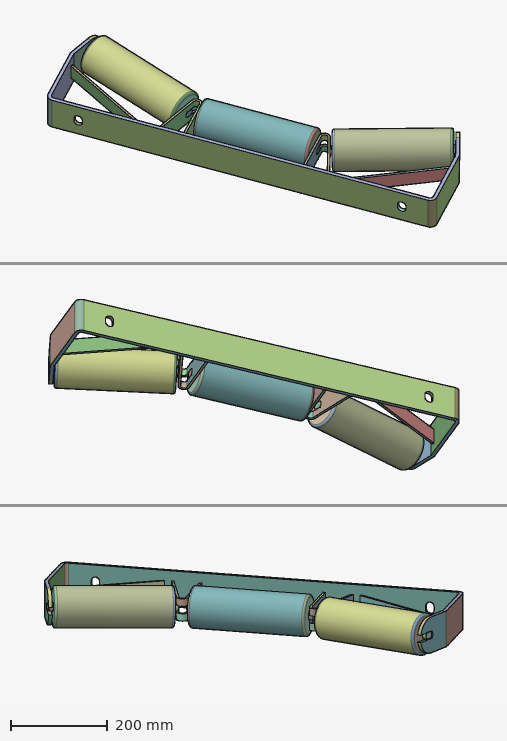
import cadquery as cq
import math

length = 860.0
strap_height = 77.0
strap_thickness = 8.0
corner_radius = 15.0
troughing_angle = 20.0
fold_y = 144.0
wing_tip_y = 230.5
mount_slot_width = 18.0
mount_slot_height = 26.0
mount_slot_x = 358.0

roller_diameter = 89.0
roller_length = 251.0
roller_edge_radius = 5.0
shaft_diameter = 20.0
shaft_flats = 15.5
support_gap = 4.0
flat_overhang = 2.0
forward_tilt = 1.5
centre_roller_y = 101.5
side_roller_y = 154.0

bracket_thickness = 5.0
bracket_height = 48.0
bracket_bend_radius = 12.0

brace_bite = 2.0
brace_thickness = 5.0
brace_height = 34.0
brace_angle = 30.0
brace_foot_x = 213.0

lean = math.radians(troughing_angle)
lean_sin = math.sin(lean)
lean_cos = math.cos(lean)
half_length = length / 2
leg_inner_x = half_length - strap_thickness
support_reach = roller_length / 2 + support_gap
shaft_half_length = support_reach + bracket_thickness
tilt_drop = support_reach * math.sin(math.radians(forward_tilt))
centre_roller_z = -2 * tilt_drop
side_roller_x = leg_inner_x - (support_reach + (side_roller_y - fold_y) * lean_sin) / lean_cos


def plate(outline, height):
    """Vertical plate with the given plan outline, centred on Z = 0."""
    return outline.close().extrude(height / 2, both=True)


def on_both_sides(solid):
    return solid, solid.mirror("YZ")


def place_roller_part(part, side):
    """Move a part made along X to the middle (0), the left (-1) or the right (1)."""
    if side == 0:
        return part.translate((0, centre_roller_y, centre_roller_z))
    part = part.rotate((0, 0, 0), (0, 1, 0), -side * forward_tilt)
    part = part.rotate((0, 0, 0), (0, 0, 1), side * troughing_angle)
    return part.translate((side * side_roller_x, side_roller_y, -tilt_drop))


def make_shaft():
    """Shaft along X, flattened above and below at both ends."""
    shaft = cq.Workplane("YZ").circle(shaft_diameter / 2).extrude(shaft_half_length, both=True)
    flats = cq.Workplane("XY").box(2 * shaft_half_length, shaft_diameter, shaft_flats)
    round_length = 2 * (support_reach - flat_overhang)
    middle = cq.Workplane("XY").box(round_length, shaft_diameter, shaft_diameter)
    return shaft.intersect(flats.union(middle))


def make_roller(side):
    drum = cq.Workplane("YZ", (-roller_length / 2, 0, 0)).circle(roller_diameter / 2).extrude(roller_length)
    drum = drum.edges().fillet(roller_edge_radius)
    return place_roller_part(drum.union(make_shaft()), side)


def make_shaft_slot(side):
    """Cutter for a shaft seat that is open towards +Y, in both supports of a roller."""
    reach = support_reach + 2 * strap_thickness
    opening_length = wing_tip_y - fold_y
    seat = cq.Workplane("YZ").circle(shaft_diameter / 2).extrude(reach, both=True)
    opening = cq.Workplane("XY").box(2 * reach, opening_length, shaft_flats)
    opening = opening.translate((0, opening_length / 2, 0))
    seat = seat.intersect(cq.Workplane("XY").box(2 * reach, shaft_diameter, shaft_flats))
    return place_roller_part(seat.union(opening), side)


def make_back():
    """Back and legs of the strap, with rounded corners and two mounting slots."""
    inner_radius = corner_radius - strap_thickness
    outer = cq.Workplane("XY").rect(length, 2 * fold_y).extrude(strap_height / 2, both=True)
    inner = cq.Workplane("XY").rect(2 * leg_inner_x, 2 * (fold_y - strap_thickness))
    inner = inner.extrude(strap_height / 2, both=True)
    ring = outer.edges("|Z").fillet(corner_radius).cut(inner.edges("|Z").fillet(inner_radius))
    keep = cq.Workplane("XY").box(length, fold_y, strap_height).translate((0, -fold_y / 2, 0))
    back = ring.intersect(keep).translate((0, fold_y, 0))
    slots = cq.Workplane("XZ").pushPoints([(-mount_slot_x, 0), (mount_slot_x, 0)])
    slots = slots.slot2D(mount_slot_height, mount_slot_width, 90).extrude(-strap_thickness)
    return back.cut(slots)


def make_wing():
    """Right-hand wing, folded about the inner face of the leg and rounded at its tip."""
    half_height = strap_height / 2
    wing_length = (wing_tip_y - fold_y) / lean_cos
    wing = cq.Workplane("YZ").moveTo(0, -half_height).lineTo(wing_length - half_height, -half_height)
    wing = wing.threePointArc((wing_length, 0), (wing_length - half_height, half_height))
    wing = wing.lineTo(0, half_height).close().extrude(strap_thickness)
    wing = wing.rotate((0, 0, 0), (0, 0, 1), troughing_angle)
    fold = cq.Workplane("XY").lineTo(strap_thickness, 0)
    fold = fold.threePointArc(
        (strap_thickness * math.cos(lean / 2), strap_thickness * math.sin(lean / 2)),
        (strap_thickness * lean_cos, strap_thickness * lean_sin),
    )
    return wing.union(plate(fold, strap_height)).translate((leg_inner_x, fold_y, 0))


def make_bracket():
    """Right-hand V plate: an upright leg by the middle roller, a leaning one by the side roller."""
    face_x = side_roller_x - support_reach * lean_cos
    face_y = side_roller_y - support_reach * lean_sin
    foot_y = strap_thickness
    foot_x = face_x + (face_y - foot_y) * lean_sin / lean_cos
    apex_y = foot_y + (foot_x - support_reach) * lean_cos / lean_sin
    bend_x = support_reach + bracket_bend_radius
    bend_y = apex_y - bracket_bend_radius / math.tan(lean / 2)

    def filled_v(radius):
        """Solid V bounded by the outside or the inside surface of the folded plate."""
        foot = foot_x - (bracket_bend_radius - radius) / lean_cos
        legs = cq.Workplane("XY").moveTo(bend_x - radius, foot_y).lineTo(bend_x - radius, bend_y)
        legs = legs.threePointArc(
            (bend_x + radius * math.sin(lean / 2), bend_y + radius * math.cos(lean / 2)),
            (bend_x + radius * lean_cos, bend_y + radius * lean_sin),
        )
        return plate(legs.lineTo(foot, foot_y), bracket_height)

    bracket = filled_v(bracket_bend_radius).cut(filled_v(bracket_bend_radius - bracket_thickness))
    return bracket.translate((0, 0, centre_roller_z))


def make_brace():
    """Right-hand flat bar, its square ends joined by one edge to the back and to the leg."""
    angle = math.radians(brace_angle)
    bar_length = (leg_inner_x - brace_foot_x) / math.cos(angle)
    bar = cq.Workplane("XY").box(
        bar_length + 2 * brace_bite, brace_thickness, brace_height, centered=(False, False, True)
    )
    bar = bar.translate((-brace_bite, 0, 0)).rotate((0, 0, 0), (0, 0, 1), brace_angle)
    return bar.translate((brace_foot_x, strap_thickness, 0))


frame = make_back()
for right_part in (make_wing(), make_bracket(), make_brace()):
    for part in on_both_sides(right_part):
        frame = frame.union(part)
for side in (-1, 0, 1):
    frame = frame.cut(make_shaft_slot(side))

rollers = [make_roller(side) for side in (-1, 0, 1)]

result = cq.Compound.makeCompound([
    frame.solids().val(),
    *[roller.solids().val() for roller in rollers],
])